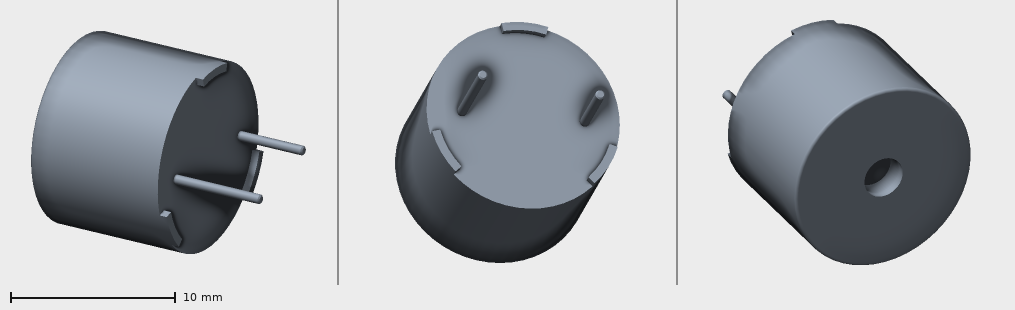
import cadquery as cq
import math

case_diameter = 12
case_length = 9
front_edge_round = 0.2
sound_hole_diameter = 2.6
sound_hole_depth = 1.6

foot_count = 3
foot_height = 0.5
foot_thickness = 0.52
foot_angle = 28

pin_diameter = 0.6
pin_spacing = 7.62
pin_tip_chamfer = 0.09
long_pin_length = 6
short_pin_length = 4.5
case_radius = case_diameter / 2


def make_case():
    """Case with a rounded front edge and a blind central sound hole."""
    case = cq.Workplane("YZ").circle(case_radius).extrude(case_length)
    case = case.faces("<X").edges().fillet(front_edge_round)
    hole = cq.Workplane("YZ").circle(sound_hole_diameter / 2).extrude(sound_hole_depth)
    return case.cut(hole)


def make_foot(turn):
    """Ring segment with radial sides, turned about X from the +Z position."""
    back = cq.Workplane("YZ").workplane(offset=case_length)
    ring = back.circle(case_radius).circle(case_radius - foot_thickness).extrude(foot_height)
    wedge_reach = case_diameter
    half_width = wedge_reach * math.tan(math.radians(foot_angle / 2))
    wedge_points = [(0, 0), (half_width, wedge_reach), (-half_width, wedge_reach)]
    wedge = back.polyline(wedge_points).close().extrude(foot_height)
    return ring.intersect(wedge).rotate((0, 0, 0), (1, 0, 0), turn)


def make_pin(y, length):
    """Pin standing on the back face with a chamfered tip."""
    pin = cq.Workplane("YZ", origin=(case_length, y, 0)).circle(pin_diameter / 2).extrude(length)
    return pin.faces(">X").edges().chamfer(pin_tip_chamfer)


result = make_case()
for index in range(foot_count):
    result = result.union(make_foot(index * 360 / foot_count))
result = result.union(make_pin(-pin_spacing / 2, long_pin_length))
result = result.union(make_pin(pin_spacing / 2, short_pin_length))